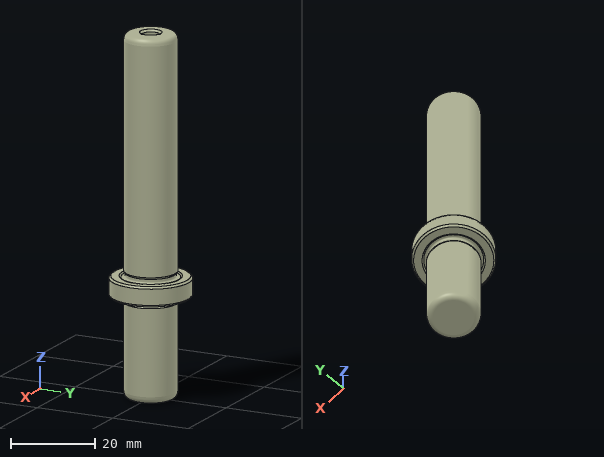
import cadquery as cq
import math

COLLAR_RADIUS = 10.0
COLLAR_HEIGHT = 5.0
SHAFT_RADIUS = 6.5
LOWER_LENGTH = 25.0
UPPER_LENGTH = 60.0

COLLAR_BOTTOM = LOWER_LENGTH
COLLAR_TOP = COLLAR_BOTTOM + COLLAR_HEIGHT
TOTAL_LENGTH = COLLAR_TOP + UPPER_LENGTH

COLLAR_CHAMFER = 0.5
END_ROUND_RADIUS = 1.5
LEAD_IN_LENGTH = 1.8
LEAD_IN_ANGLE = math.radians(10.0)

UNDERCUT_LENGTH = 1.3
UNDERCUT_DEPTH = 0.4
UNDERCUT_RAMP = 0.5
FACE_RELIEF_RADIUS = 7.5
FACE_RELIEF_DEPTH = 0.3
FACE_RELIEF_RAMP = 0.4
UNDERCUT_FILLET = 0.4

HOLE_RADIUS = 2.1
HOLE_DEPTH = 12.5
COUNTERSINK_RADIUS = 2.65
DRILL_POINT_ANGLE = math.radians(118.0)


def make_shaft():
    """Shaft with a slight taper at each end, running tangentially into the end rounding."""
    round_height = END_ROUND_RADIUS * (1 - math.sin(LEAD_IN_ANGLE))
    round_start_radius = SHAFT_RADIUS - (LEAD_IN_LENGTH - round_height) * math.tan(LEAD_IN_ANGLE)
    end_flat_radius = round_start_radius - END_ROUND_RADIUS * math.cos(LEAD_IN_ANGLE)
    profile = (
        cq.Workplane("XZ")
        .moveTo(0, 0)
        .lineTo(end_flat_radius, 0)
        .tangentArcPoint((round_start_radius, round_height), relative=False)
        .lineTo(SHAFT_RADIUS, LEAD_IN_LENGTH)
        .lineTo(SHAFT_RADIUS, TOTAL_LENGTH - LEAD_IN_LENGTH)
        .lineTo(round_start_radius, TOTAL_LENGTH - round_height)
        .tangentArcPoint((end_flat_radius, TOTAL_LENGTH), relative=False)
        .lineTo(0, TOTAL_LENGTH)
        .close()
    )
    return profile.revolve(360, (0, 0), (0, 1))


def make_collar():
    """Collar with both outer rims chamfered."""
    disc = cq.Workplane("XY").workplane(offset=COLLAR_BOTTOM).circle(COLLAR_RADIUS).extrude(COLLAR_HEIGHT)
    return disc.faces("|Z").edges().chamfer(COLLAR_CHAMFER)


def make_undercut(face_z, outward):
    """Ring relieving the corner of shaft and collar face; outward is +1 or -1 along Z."""
    floor_radius = SHAFT_RADIUS - UNDERCUT_DEPTH
    fillet_center_radius = floor_radius + UNDERCUT_FILLET
    fillet_center_height = UNDERCUT_FILLET - FACE_RELIEF_DEPTH
    fillet_diagonal = UNDERCUT_FILLET * math.sqrt(0.5)

    def at(radius, height):
        return (radius, face_z + outward * height)

    profile = (
        cq.Workplane("XZ")
        .moveTo(*at(SHAFT_RADIUS, UNDERCUT_LENGTH))
        .lineTo(*at(floor_radius, UNDERCUT_LENGTH - UNDERCUT_RAMP))
        .lineTo(*at(floor_radius, fillet_center_height))
        .threePointArc(
            at(fillet_center_radius - fillet_diagonal, fillet_center_height - fillet_diagonal),
            at(fillet_center_radius, -FACE_RELIEF_DEPTH),
        )
        .lineTo(*at(FACE_RELIEF_RADIUS - FACE_RELIEF_RAMP, -FACE_RELIEF_DEPTH))
        .lineTo(*at(FACE_RELIEF_RADIUS, 0))
        .lineTo(*at(SHAFT_RADIUS, 0))
        .close()
    )
    return profile.revolve(360, (0, 0), (0, 1))


def make_hole():
    """Countersunk blind hole with a conical drill point, opening at the upper end."""
    countersink_depth = COUNTERSINK_RADIUS - HOLE_RADIUS
    point_depth = HOLE_RADIUS / math.tan(DRILL_POINT_ANGLE / 2)
    hole_bottom = TOTAL_LENGTH - HOLE_DEPTH
    profile = (
        cq.Workplane("XZ")
        .moveTo(0, TOTAL_LENGTH)
        .lineTo(COUNTERSINK_RADIUS, TOTAL_LENGTH)
        .lineTo(HOLE_RADIUS, TOTAL_LENGTH - countersink_depth)
        .lineTo(HOLE_RADIUS, hole_bottom)
        .lineTo(0, hole_bottom - point_depth)
        .close()
    )
    return profile.revolve(360, (0, 0), (0, 1))


result = make_shaft().union(make_collar())
for face_z, outward in ((COLLAR_BOTTOM, -1), (COLLAR_TOP, 1)):
    result = result.cut(make_undercut(face_z, outward))
result = result.cut(make_hole())